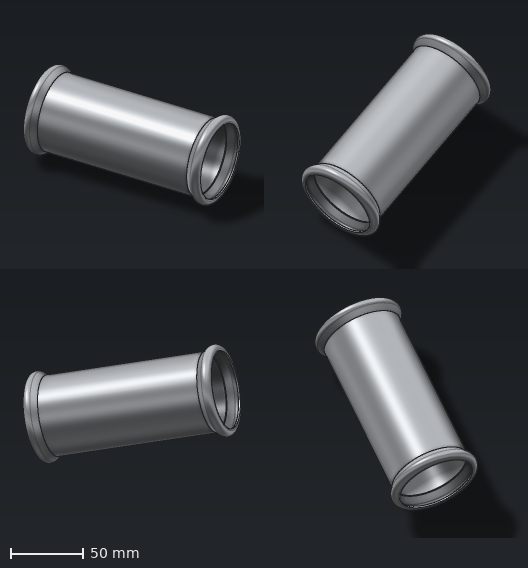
import cadquery as cq
import math

length = 140.0
outer_diameter = 65.4
tube_diameter = 57.5
bore_diameter = 54.5
mouth_diameter = 55.0
cone_end = 10.6
stop_depth = 10.8

tube_radius = tube_diameter / 2
bore_radius = bore_diameter / 2
mouth_radius = mouth_diameter / 2
bead_radius = (outer_diameter - tube_diameter) / 2
wall = tube_radius - mouth_radius
groove_radius = bead_radius - wall

bead_x = bead_radius
tangent_angle = math.acos(bead_radius / (cone_end - bead_x))


def bead_point(radius, angle):
    """Point (x, distance from axis) on a circle about the bead centre."""
    return (bead_x + radius * math.cos(angle), tube_radius + radius * math.sin(angle))


def half_coupling():
    """Revolve one half of the wall section, from the end face to mid-length."""
    arc_middle = (tangent_angle + math.pi) / 2
    outer_tangent = bead_point(bead_radius, tangent_angle)
    groove_tangent = bead_point(groove_radius, tangent_angle)
    groove_end_x = groove_tangent[0] + (groove_tangent[1] - mouth_radius) * math.tan(tangent_angle)
    lip_outer_x = bead_x - math.sqrt(bead_radius**2 - wall**2)
    lip_inner_x = bead_x - math.sqrt(groove_radius**2 - wall**2)
    lip_outer_angle = math.pi + math.asin(wall / bead_radius)
    lip_inner_angle = math.pi + math.asin(wall / groove_radius)
    section = (
        cq.Workplane("XY")
        .moveTo(length / 2, tube_radius)
        .lineTo(cone_end, tube_radius)
        .lineTo(*outer_tangent)
        .threePointArc(bead_point(bead_radius, arc_middle), (0, tube_radius))
        .threePointArc(
            bead_point(bead_radius, (math.pi + lip_outer_angle) / 2), (lip_outer_x, mouth_radius)
        )
        .lineTo(lip_inner_x, mouth_radius)
        .threePointArc(
            bead_point(groove_radius, (tangent_angle + lip_inner_angle) / 2), groove_tangent
        )
        .lineTo(groove_end_x, mouth_radius)
        .lineTo(stop_depth, mouth_radius)
        .lineTo(stop_depth, bore_radius)
        .lineTo(length / 2, bore_radius)
        .close()
    )
    return section.revolve(360, (0, 0, 0), (1, 0, 0))


left_half = half_coupling()
right_half = left_half.mirror("YZ", (length / 2, 0, 0))
result = left_half.union(right_half, clean=True).translate((-length / 2, 0, 0))